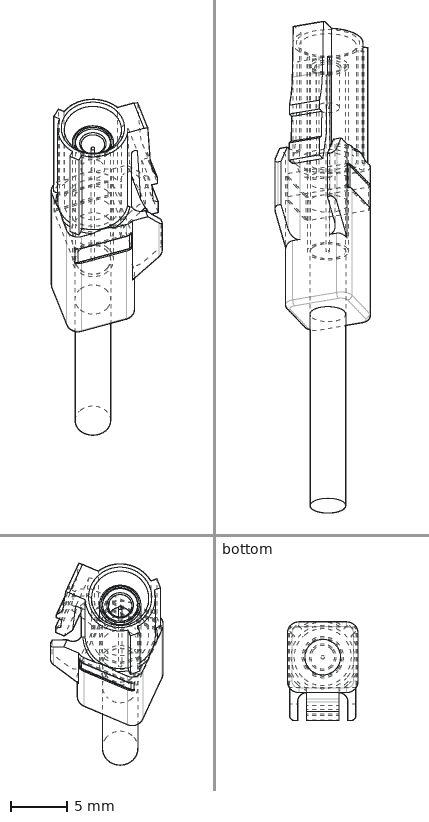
import cadquery as cq
import math

top_z = 45.3
body_top_z = 33.7
body_bottom_z = 18.75

body_width = 6.3
body_half = body_width / 2
body_corner_radius = 1.05
body_bottom_fillet = 0.4

tube_radius = 3.13
tube_flare_width = 0.2
tube_flare_height = 0.3
bore_radius = 2.55
bore_chamfer_width = 0.25
bore_chamfer_depth = 0.25
bore_floor_z = body_top_z

rib_width = 0.9
rib_reach = 3.65
rib_angles = (225, 315)

back_y = 5.64
latch_width = 2.9
latch_foot_z = 31.65

fin_inner_x = 2.2
fin_outer_x = 2.95
fin_root_radius = 0.8
fin_corner_radius = 0.45
fin_flat_end_y = 4.15
fin_back_bottom_z = 27.45

window_bottom_z = 29.6
window_top_z = 31.85
window_width = 5.35
lock_recess = 0.1
lock_corner_chamfer = 0.25
lock_edge_chamfer = 0.1

contact_radius = 1.835
contact_wall = 0.25
contact_tip_chamfer = 0.15
contact_top_z = 43.15
contact_bottom_z = 24.9
insulator_radius = contact_radius - contact_wall
insulator_top_z = 42.9
socket_radius = 1.05
socket_chamfer = 0.15
socket_floor_z = 38.95
pin_radius = 0.16
pin_top_z = 42.15
cable_radius = 1.6


def cylinder(radius, bottom_z, upper_z):
    """Upright cylinder on the connector axis between two heights."""
    return cq.Workplane("XY").workplane(offset=bottom_z).circle(radius).extrude(upper_z - bottom_z)


def cone(bottom_radius, upper_radius, bottom_z, upper_z):
    """Upright cone frustum on the connector axis."""
    height = upper_z - bottom_z
    return cq.Workplane(cq.Solid.makeCone(bottom_radius, upper_radius, height, cq.Vector(0, 0, bottom_z)))


def block(x_size, y_size, bottom_z, upper_z):
    """Upright block centred on the connector axis."""
    return cq.Workplane("XY").workplane(offset=bottom_z).rect(x_size, y_size).extrude(upper_z - bottom_z)


def make_body():
    body = block(body_width, body_width, body_bottom_z, body_top_z).edges("|Z").fillet(body_corner_radius)
    return body.faces("<Z").edges().fillet(body_bottom_fillet)


def make_tube():
    """Mating tube with a flared foot that stays inside the square of the body."""
    tube = cylinder(tube_radius, body_top_z, top_z)
    flare = cone(tube_radius + tube_flare_width, tube_radius, body_top_z, body_top_z + tube_flare_height)
    return tube.union(flare.intersect(block(body_width, body_width, body_top_z, top_z)))


def make_rib(angle):
    """Straight coding rib that points away from the axis at the given angle."""
    rib_root = bore_radius
    rib = (
        cq.Workplane("XY")
        .workplane(offset=body_top_z)
        .center((rib_root + rib_reach) / 2, 0)
        .rect(rib_reach - rib_root, rib_width)
        .extrude(top_z - body_top_z)
    )
    return rib.rotate((0, 0, 0), (0, 0, 1), angle)


def make_latch():
    """Arm that hangs from the top of the tube, with a catch and a finger step.

    A pad on the tube backs the arm, and a round-topped slot separates the two.
    """
    pad_y = body_half
    slot_radius = 0.25
    slot_round_z = 41.95
    tip_y = 4.65
    tip_chamfer_width = 0.35
    tip_chamfer_depth = 0.15
    ramp_start = (4.9, 40.1)
    catch_y = 5.55
    catch_top_z = 37.05
    catch_bottom_z = 36.2
    neck_top_y = 5.05
    neck_bottom_y = 5.15
    finger_step_z = 33.35
    foot_inner_y = 4.8
    arm_bend = (4.0, 34.45)
    profile = (
        cq.Workplane("YZ")
        .moveTo(bore_radius, top_z)
        .lineTo(tip_y - tip_chamfer_width, top_z)
        .lineTo(tip_y, top_z - tip_chamfer_depth)
        .lineTo(*ramp_start)
        .tangentArcPoint((catch_y, catch_top_z), relative=False)
        .lineTo(catch_y, catch_bottom_z)
        .lineTo(neck_top_y, catch_bottom_z)
        .lineTo(neck_bottom_y, body_top_z)
        .lineTo(back_y, finger_step_z)
        .lineTo(back_y, latch_foot_z)
        .lineTo(foot_inner_y, latch_foot_z)
        .lineTo(*arm_bend)
        .lineTo(pad_y + 2 * slot_radius, slot_round_z)
        .threePointArc((pad_y + slot_radius, slot_round_z + slot_radius), (pad_y, slot_round_z))
        .lineTo(pad_y, body_top_z)
        .lineTo(bore_radius, body_top_z)
        .close()
    )
    return profile.extrude(latch_width / 2, both=True)


def make_fins():
    """Two guard fins, each an upright section trimmed by a side profile."""
    arc_inset = 1 - math.sqrt(0.5)
    root_inset = fin_root_radius * arc_inset
    corner_inset = fin_corner_radius * arc_inset
    root_x = fin_inner_x - fin_root_radius
    root_y = body_half - body_corner_radius
    section = (
        cq.Workplane("XY")
        .workplane(offset=body_bottom_z)
        .moveTo(root_x, body_half)
        .threePointArc(
            (fin_inner_x - root_inset, body_half + root_inset),
            (fin_inner_x, body_half + fin_root_radius),
        )
        .lineTo(fin_inner_x, back_y)
        .lineTo(fin_outer_x - fin_corner_radius, back_y)
        .threePointArc(
            (fin_outer_x - corner_inset, back_y - corner_inset),
            (fin_outer_x, back_y - fin_corner_radius),
        )
        .lineTo(fin_outer_x, root_y)
        .lineTo(root_x, root_y)
        .close()
        .extrude(body_top_z - body_bottom_z)
    )
    root_bottom_z = fin_back_bottom_z - (back_y - root_y)
    side_profile = (
        cq.Workplane("YZ")
        .moveTo(root_y, body_top_z)
        .lineTo(fin_flat_end_y, body_top_z)
        .lineTo(back_y, latch_foot_z)
        .lineTo(back_y, fin_back_bottom_z)
        .lineTo(root_y, root_bottom_z)
        .close()
        .extrude(body_width)
    )
    fin = section.intersect(side_profile)
    return fin.union(fin.mirror("YZ"))


def make_housing():
    housing = make_body().union(make_tube())
    for angle in rib_angles:
        housing = housing.union(make_rib(angle))
    housing = housing.union(make_latch()).union(make_fins())
    housing = housing.cut(cylinder(bore_radius, bore_floor_z, top_z))
    chamfer_bottom_z = top_z - bore_chamfer_depth
    housing = housing.cut(cone(bore_radius, bore_radius + bore_chamfer_width, chamfer_bottom_z, top_z))
    housing = housing.cut(cylinder(contact_radius, contact_bottom_z, bore_floor_z))
    housing = housing.cut(cylinder(cable_radius, body_bottom_z, contact_bottom_z))
    return housing.cut(block(body_width, window_width, window_bottom_z, window_top_z))


def make_lock():
    """Cross lock that fills both windows, with chamfered ends and a hole for the contact."""
    lock = block(body_width - 2 * lock_recess, window_width, window_bottom_z, window_top_z)
    lock = lock.edges("|Z").chamfer(lock_corner_chamfer)
    lock = lock.faces("<X or >X").edges("|Y").chamfer(lock_edge_chamfer)
    return lock.cut(cylinder(contact_radius, window_bottom_z, window_top_z))


def make_contact():
    """Outer contact sleeve with a chamfered tip."""
    sleeve = cylinder(contact_radius, contact_bottom_z, contact_top_z)
    sleeve = sleeve.faces(">Z").edges().chamfer(contact_tip_chamfer)
    return sleeve.cut(cylinder(insulator_radius, contact_bottom_z, contact_top_z))


def make_insulator():
    """Insulator with a countersunk socket around the pin."""
    insulator = cylinder(insulator_radius, contact_bottom_z, insulator_top_z)
    insulator = insulator.cut(cylinder(socket_radius, socket_floor_z, insulator_top_z))
    insulator = insulator.cut(
        cone(socket_radius, socket_radius + socket_chamfer, insulator_top_z - socket_chamfer, insulator_top_z)
    )
    return insulator.cut(cylinder(pin_radius, contact_bottom_z, socket_floor_z))


housing = make_housing()
lock = make_lock()
contact = make_contact()
insulator = make_insulator()
pin = cylinder(pin_radius, contact_bottom_z, pin_top_z)
cable = cylinder(cable_radius, 0, contact_bottom_z)

result = cq.Compound.makeCompound(
    [housing.val(), lock.val(), contact.val(), insulator.val(), pin.val(), cable.val()]
)